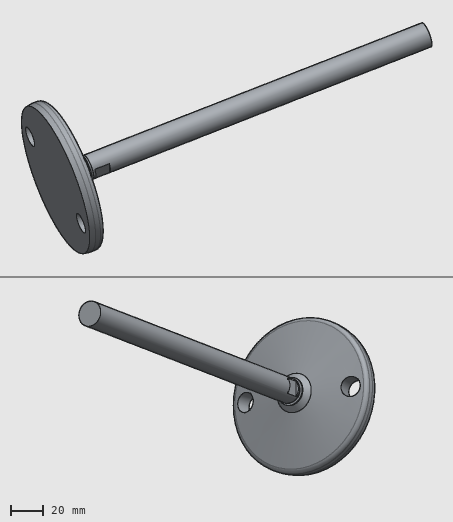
import cadquery as cq
import math


foot_radius = 98.0 / 2
sole_radius = 48.5
rim_taper_top = 3.8
rim_top = 7.0
edge_rounding = 3.0
neck_base_radius = 12.3
neck_base_y = 16.0
neck_top_radius = 8.8
neck_top_y = 20.7
lip_height = 0.8

hole_diameter = 12.5
hole_offset = 36.0
hole_cutter_length = 75.5

rod_diameter = 16.0
rod_end_y = 252.0
rod_chamfer_height = 1.5
rod_chamfer_width = 0.8
flat_start_y = 23.7
flat_length = 9.8
across_flats = 12.5

rounding_center = (foot_radius - edge_rounding, rim_top)
to_neck_x = rounding_center[0] - neck_base_radius
to_neck_y = neck_base_y - rounding_center[1]
slope = math.atan2(to_neck_y, to_neck_x) - math.asin(edge_rounding / math.hypot(to_neck_x, to_neck_y))


def on_rounding(angle):
    """Point on the rounded edge, with the angle in radians from the radial direction."""
    return (
        rounding_center[0] + edge_rounding * math.cos(angle),
        rounding_center[1] + edge_rounding * math.sin(angle),
    )


def make_foot():
    cone_normal = math.pi / 2 - slope
    body = (
        cq.Workplane("XY")
        .moveTo(0, 0)
        .lineTo(sole_radius, 0)
        .lineTo(foot_radius, rim_taper_top)
        .lineTo(foot_radius, rim_top)
        .threePointArc(on_rounding(cone_normal / 2), on_rounding(cone_normal))
        .lineTo(neck_base_radius, neck_base_y)
        .lineTo(neck_top_radius, neck_top_y - lip_height)
        .lineTo(neck_top_radius, neck_top_y)
        .lineTo(0, neck_top_y)
        .close()
        .revolve(360, (0, 0, 0), (0, 1, 0))
    )
    for side in (-1, 1):
        body = body.cut(make_hole_cutter(side))
    return body


def make_hole_cutter(side):
    """Cylinder that leans outward on the given side, centred on the sole."""
    axis = cq.Vector(side * math.sin(slope), math.cos(slope), 0)
    sole_point = cq.Vector(side * hole_offset, 0, 0)
    start = sole_point - axis * (hole_cutter_length / 2)
    return cq.Workplane(cq.Solid.makeCylinder(hole_diameter / 2, hole_cutter_length, start, axis))


def make_rod():
    rod_radius = rod_diameter / 2
    body = (
        cq.Workplane("XY")
        .moveTo(0, neck_top_y)
        .lineTo(rod_radius - rod_chamfer_width, neck_top_y)
        .lineTo(rod_radius, neck_top_y + rod_chamfer_height)
        .lineTo(rod_radius, rod_end_y)
        .lineTo(0, rod_end_y)
        .close()
        .revolve(360, (0, 0, 0), (0, 1, 0))
    )
    for side in (-1, 1):
        flat_cutter = cq.Workplane("XY").box(rod_diameter, flat_length, rod_diameter).translate(
            (side * (across_flats + rod_diameter) / 2, flat_start_y + flat_length / 2, 0)
        )
        body = body.cut(flat_cutter)
    return body


foot = make_foot()
rod = make_rod()

result = cq.Compound.makeCompound([foot.val(), rod.val()])